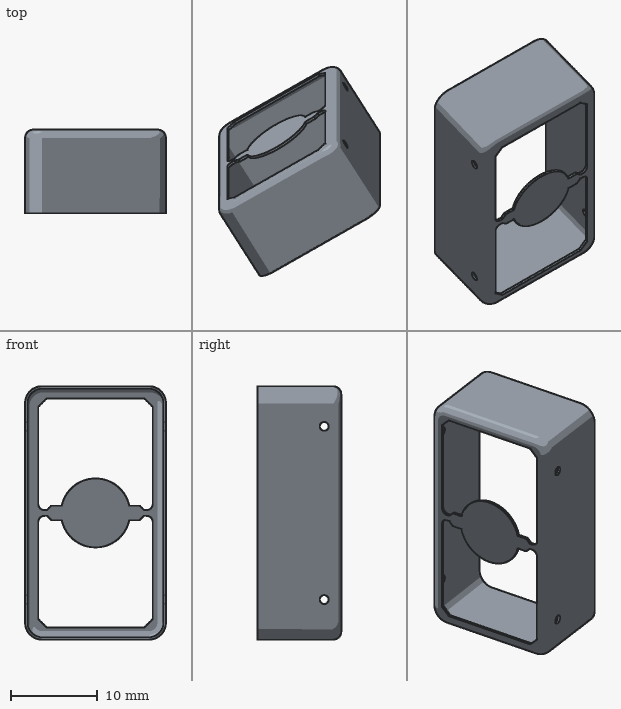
import cadquery as cq
import math

WIDTH = 16.3
DEPTH = 9.7
HEIGHT = 29.3
WALL = 0.3
CORNER_RADIUS = 2.0
RIM_RADIUS = 1.0

WINDOW_WIDTH = 13.2
WINDOW_HEIGHT = 26.4
WINDOW_CHAMFER = 0.95

DISC_RADIUS = 4.0
ARM_HALF_HEIGHT = 0.85
ARM_END_X = 5.1
NECK_HALF_HEIGHT = 0.35
NECK_FILLET = 0.7

HOLE_DIAMETER = 1.0
HOLE_SPACING = 20.0
HOLE_FROM_FACE = 2.0

FACE_Y = DEPTH / 2
OPEN_Y = -DEPTH / 2


def rounded_box(width, height, open_y, face_y, corner_radius, rim_radius):
    """Box with rounded corners along Y and a rounded rim at its +Y end."""
    return (
        cq.Workplane("XZ", origin=(0, open_y, 0))
        .rect(width, height)
        .extrude(open_y - face_y)
        .edges("|Y")
        .fillet(corner_radius)
        .faces(">Y")
        .edges()
        .fillet(rim_radius)
    )


def make_shell():
    outer = rounded_box(WIDTH, HEIGHT, OPEN_Y, FACE_Y, CORNER_RADIUS, RIM_RADIUS)
    cavity = rounded_box(
        WIDTH - 2 * WALL,
        HEIGHT - 2 * WALL,
        OPEN_Y,
        FACE_Y - WALL,
        CORNER_RADIUS - WALL,
        RIM_RADIUS - WALL,
    )
    return outer.cut(cavity)


def make_window_half(z_side):
    """Cutter for the window above (z_side = 1) or below (z_side = -1) the disc and arms."""
    edge_x = WINDOW_WIDTH / 2
    edge_z = WINDOW_HEIGHT / 2
    disc_x = math.sqrt(DISC_RADIUS**2 - ARM_HALF_HEIGHT**2)
    neck_start_x = ARM_END_X + ARM_HALF_HEIGHT - NECK_HALF_HEIGHT
    fillet_start_x = edge_x - NECK_FILLET
    fillet_end_z = NECK_HALF_HEIGHT + NECK_FILLET
    fillet_inset = NECK_FILLET * (1 - math.sqrt(0.5))
    fillet_mid_x = edge_x - fillet_inset
    fillet_mid_z = NECK_HALF_HEIGHT + fillet_inset

    def at(x, z):
        return (x, z_side * z)

    return (
        cq.Workplane("XZ", origin=(0, FACE_Y, 0))
        .moveTo(*at(-disc_x, ARM_HALF_HEIGHT))
        .lineTo(*at(-ARM_END_X, ARM_HALF_HEIGHT))
        .lineTo(*at(-neck_start_x, NECK_HALF_HEIGHT))
        .lineTo(*at(-fillet_start_x, NECK_HALF_HEIGHT))
        .threePointArc(at(-fillet_mid_x, fillet_mid_z), at(-edge_x, fillet_end_z))
        .lineTo(*at(-edge_x, edge_z - WINDOW_CHAMFER))
        .lineTo(*at(-edge_x + WINDOW_CHAMFER, edge_z))
        .lineTo(*at(edge_x - WINDOW_CHAMFER, edge_z))
        .lineTo(*at(edge_x, edge_z - WINDOW_CHAMFER))
        .lineTo(*at(edge_x, fillet_end_z))
        .threePointArc(at(fillet_mid_x, fillet_mid_z), at(fillet_start_x, NECK_HALF_HEIGHT))
        .lineTo(*at(neck_start_x, NECK_HALF_HEIGHT))
        .lineTo(*at(ARM_END_X, ARM_HALF_HEIGHT))
        .lineTo(*at(disc_x, ARM_HALF_HEIGHT))
        .threePointArc(at(0, DISC_RADIUS), at(-disc_x, ARM_HALF_HEIGHT))
        .close()
        .extrude(WALL)
    )


def make_cross_holes():
    return (
        cq.Workplane("YZ", origin=(-WIDTH / 2, FACE_Y - HOLE_FROM_FACE, 0))
        .pushPoints([(0, -HOLE_SPACING / 2), (0, HOLE_SPACING / 2)])
        .circle(HOLE_DIAMETER / 2)
        .extrude(WIDTH)
    )


result = make_shell()
for z_side in (1, -1):
    result = result.cut(make_window_half(z_side))
result = result.cut(make_cross_holes())